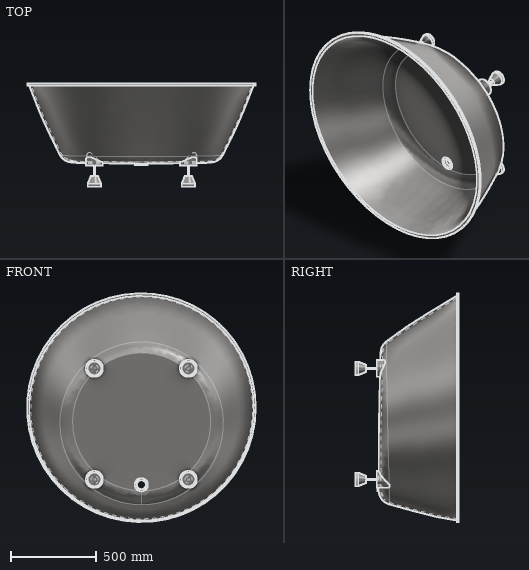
import cadquery as cq

rim_radius = 670.0
rim_thickness = 12.0
total_depth = 605.0
wall_thickness = 12.0

wall_top = (0.0, 662.0, 0.0)
wall_middle = (205.0, 580.0, -42.0)
wall_bottom = (412.0, 481.0, -84.0)
wall_end = (480.0, 445.0, -103.0)
wall_sections = [wall_top, wall_middle, wall_bottom, wall_end]

floor_dome_radius = 16400.0
floor_depth = 470.0
floor_lowest_z = -290.0
floor_fillet = 86.0

boss_radius = 50.0
boss_root_depth = 385.0
boss_end_depth = 481.0
rod_radius = 5.0
foot_top_depth = 541.0
foot_top_radius = 21.0
foot_radius = 40.0
foot_pad_thickness = 18.0
leg_spacing_x = 550.0
leg_spacing_z = 650.0
leg_centre_z = -95.0

drain_z = -451.0
drain_radius = 38.5
drain_bore_radius = 26.0
drain_end_depth = 478.0


def cylinder(radius, start_depth, end_depth, x=0.0, z=0.0):
    """Cylinder along Y between two depths below the rim plane."""
    base = cq.Workplane("XZ", origin=(0, -start_depth, 0)).center(x, z)
    return base.circle(radius).extrude(end_depth - start_depth)


def tub_form(inset):
    """Solid bowl bounded by the tub's outer surface moved inwards by `inset`."""
    rings = [
        cq.Wire.makeCircle(radius - inset, cq.Vector(0, -depth, centre_z), cq.Vector(0, -1, 0))
        for depth, radius, centre_z in wall_sections
    ]
    bowl = cq.Workplane(cq.Solid.makeLoft(rings))
    dome_radius = floor_dome_radius - inset
    dome_centre_y = floor_dome_radius - floor_depth
    dome = cq.Workplane("XY", origin=(0, dome_centre_y, floor_lowest_z)).sphere(dome_radius)
    bowl = bowl.intersect(dome)
    return bowl.faces("<Y").edges().fillet(floor_fillet - inset)


def leg(x, z):
    """Boss, rod and foot, all on one axis."""
    pad_depth = total_depth - foot_pad_thickness
    boss = cylinder(boss_radius, boss_root_depth, boss_end_depth, x, z)
    rod = cylinder(rod_radius, boss_end_depth, foot_top_depth, x, z)
    foot_profile = [
        (0, -foot_top_depth),
        (foot_top_radius, -foot_top_depth),
        (foot_radius, -pad_depth),
        (foot_radius, -total_depth),
        (0, -total_depth),
    ]
    foot = cq.Workplane("XY").polyline(foot_profile).close().revolve(360, (0, 0), (0, 1))
    return boss.union(rod).union(foot.translate((x, 0, z)))


tub = tub_form(0).union(cylinder(rim_radius, 0, rim_thickness))
for side_x in (-1, 1):
    for side_z in (-1, 1):
        leg_x = side_x * leg_spacing_x / 2
        leg_z = leg_centre_z + side_z * leg_spacing_z / 2
        tub = tub.union(leg(leg_x, leg_z))
tub = tub.cut(tub_form(wall_thickness))
tub = tub.cut(cylinder(drain_radius, 0, total_depth, 0, drain_z))

drain = cylinder(drain_radius, floor_depth - wall_thickness, drain_end_depth, 0, drain_z)
drain = drain.cut(cylinder(drain_bore_radius, 0, total_depth, 0, drain_z))

result = cq.Compound.makeCompound([tub.val(), drain.val()])